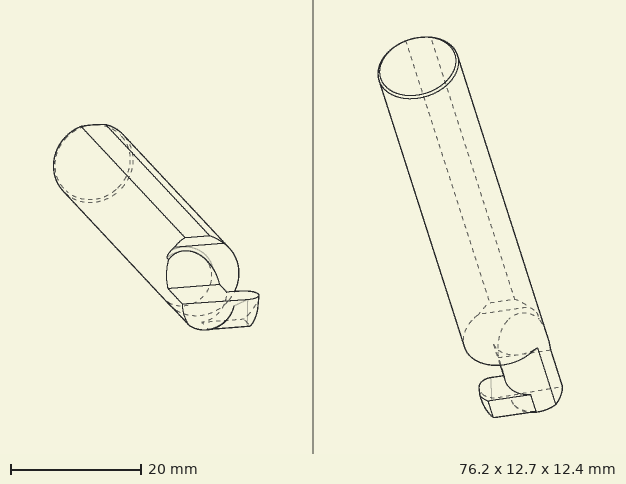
import cadquery as cq
import math

overall_length = 76.2
shank_diameter = 12.7
shank_length = 62.36
flat_height = 6.04
rear_chamfer = 0.35
slope_end = 67.35
slope_angle = 45.0
neck_radius = 4.45
neck_side = 1.88
shoulder_fillet = 0.45
tip_radius = 2.36
tip_reach = 6.33
front_relief = 2.0
side_clearance = 5.0

shank_radius = shank_diameter / 2
neck_axis_y = neck_side - neck_radius
tip_x = overall_length - tip_radius
tip_rear = tip_x - tip_radius
tip_y = tip_reach - tip_radius
block_width = 2 * shank_diameter
margin = 1.0


def make_bar():
    """Full-length round bar with a chamfered rear end."""
    bar = cq.Workplane("YZ").circle(shank_radius).extrude(overall_length)
    return bar.faces("<X").chamfer(rear_chamfer)


def make_shank(bar):
    """The part of the bar behind the shoulder."""
    envelope = cq.Workplane("YZ").rect(block_width, block_width).extrude(shank_length)
    return bar.intersect(envelope)


def make_neck(bar):
    """Offset round neck, filleted into the shoulder and kept within the bar."""
    arc_offset = shoulder_fillet * (1 - math.sqrt(0.5))
    neck = (
        cq.Workplane("XY")
        .moveTo(shank_length, neck_axis_y)
        .lineTo(shank_length, neck_side + shoulder_fillet)
        .threePointArc(
            (shank_length + arc_offset, neck_side + arc_offset),
            (shank_length + shoulder_fillet, neck_side),
        )
        .lineTo(overall_length, neck_side)
        .lineTo(overall_length, neck_axis_y)
        .close()
        .revolve(360, (0, neck_axis_y, 0), (1, neck_axis_y, 0))
    )
    return neck.intersect(bar)


def make_tip(bar):
    """Round-nosed cutting tip reaching to +Y, with clearance below the cutting plane."""
    tip = (
        cq.Workplane("XY")
        .moveTo(tip_rear, neck_axis_y)
        .lineTo(tip_rear, tip_y)
        .threePointArc((tip_x, tip_reach), (overall_length, tip_y))
        .lineTo(overall_length, neck_axis_y)
        .close()
        .extrude(-neck_radius, taper=side_clearance)
    )
    return tip.intersect(bar)


def make_flat_cutter():
    """Block above the clamping flat."""
    return (
        cq.Workplane("XY")
        .workplane(offset=flat_height)
        .rect(overall_length, block_width, centered=(False, True))
        .extrude(shank_diameter)
    )


def make_slope_cutter():
    """Everything above the sloped relief and the cutting plane."""
    top = shank_radius + margin
    slope_run = top / math.tan(math.radians(slope_angle))
    return (
        cq.Workplane("XZ")
        .moveTo(slope_end, 0)
        .lineTo(slope_end - slope_run, top)
        .lineTo(overall_length + margin, top)
        .lineTo(overall_length + margin, 0)
        .close()
        .extrude(shank_diameter, both=True)
    )


def make_front_cutter():
    """Wedge that leans the end face back from the tip towards -Y."""
    wedge_length = tip_y + shank_radius + margin
    wedge_width = wedge_length * math.tan(math.radians(front_relief))
    return (
        cq.Workplane("XY")
        .moveTo(overall_length, tip_y)
        .lineTo(overall_length - wedge_width, tip_y - wedge_length)
        .lineTo(overall_length + margin, tip_y - wedge_length)
        .lineTo(overall_length + margin, tip_y)
        .close()
        .extrude(shank_diameter, both=True)
    )


bar = make_bar()
body = make_shank(bar).union(make_neck(bar)).union(make_tip(bar))
result = body.cut(make_flat_cutter()).cut(make_slope_cutter()).cut(make_front_cutter())